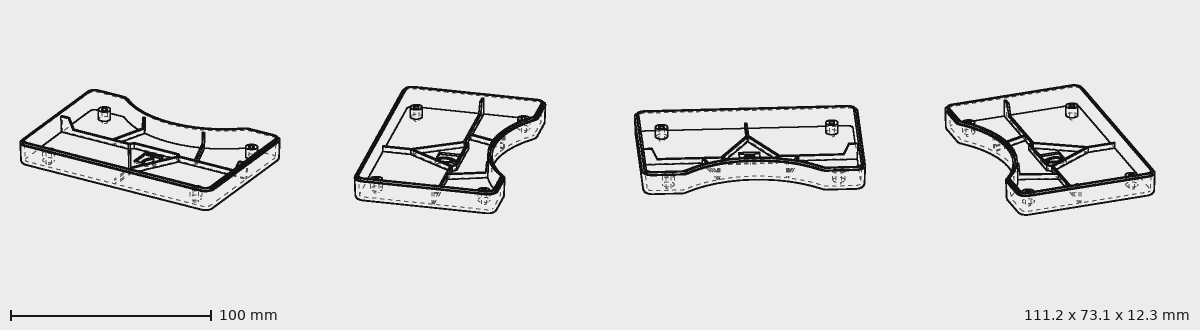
import cadquery as cq
import math

LENGTH = 111.2
WIDTH = 73.1
HEIGHT = 12.3
LIP_HEIGHT = 1.1
SHOULDER_Z = HEIGHT - LIP_HEIGHT
LIP_INSET = 1.0
LIP_DRAFT = 5.0
WALL = 2.0
FLOOR = 1.9
WALL_DRAFT = 2.0
WALL_MIDDLE_X = (LENGTH - WALL) / 2
WALL_MIDDLE_Y = (WIDTH - WALL) / 2
CORNER_RADIUS = 5.0
BOTTOM_FILLET = 2.0

NOTCH_RADIUS = 50.0
NOTCH_BOTTOM_Y = 22.9
NOTCH_CENTRE_Y = NOTCH_BOTTOM_Y + NOTCH_RADIUS
NOTCH_CORNER_RADIUS = 4.5
NOTCH_CORNER_X = math.sqrt(NOTCH_RADIUS**2 - (NOTCH_CENTRE_Y - WIDTH / 2) ** 2)

BOSS_X = 42.5
BOSS_Y = 27.5
BOSS_DIAMETER = 6.0
BOSS_HOLE_DIAMETER = 2.6
BOSS_HEIGHT = 5.1

RIB_WIDTH = 1.0
RIB_HEIGHT = 2.7
CROSS_RIB_Y = 4.0
FRAME_SIDE_X = 14.2
FRAME_TOP_X = 12.6
FRAME_TOP_Y = 6.0
FRAME_TIP_Y = -19.9
RADIAL_RIB_FOOT_X = 23.8

GUSSET_HEIGHT = 8.5
GUSSET_TOP_X = 49.1
GUSSET_FOOT_X = 46.5
POST_TOP_DEPTH = 0.8
POST_FOOT_DEPTH = 1.3

RECESS_LENGTH = 10.2
RECESS_WIDTH = 10.6
RECESS_CENTRE_Y = -1.3
RECESS_DEPTH = 1.0
DROP_RADIUS = 2.6
DROP_CENTRE_Y = -3.2
DROP_TIP_Y = 3.1


def outline(inset, z):
    """Closed outline of the case, moved inwards by inset and placed at height z."""
    block = cq.Workplane("XY").rect(LENGTH, WIDTH).extrude(1.1)
    block = block.edges("|Z").fillet(CORNER_RADIUS)
    block = block.cut(cq.Workplane("XY").center(0, NOTCH_CENTRE_Y).circle(NOTCH_RADIUS).extrude(1.1))
    for side in (-1, 1):
        notch_corner = (side * NOTCH_CORNER_X, WIDTH / 2, 0.6)
        edge = cq.selectors.NearestToPointSelector(notch_corner)
        block = block.edges("|Z").edges(edge).fillet(NOTCH_CORNER_RADIUS)
    wire = block.faces("<Z").wires().val().translate(cq.Vector(0, 0, z))
    placed = cq.Workplane("XY", origin=(0, 0, z)).add(wire).toPending()
    return placed.offset2D(-inset) if inset > 0 else placed


def shell():
    body = outline(0, SHOULDER_Z).extrude(-SHOULDER_Z, taper=WALL_DRAFT)
    body = body.faces("<Z").edges().fillet(BOTTOM_FILLET)
    lip = outline(LIP_INSET, SHOULDER_Z).extrude(LIP_HEIGHT, taper=LIP_DRAFT)
    return body.union(lip)


def cavity():
    return outline(WALL, HEIGHT).extrude(-(HEIGHT - FLOOR), taper=WALL_DRAFT)


def braced_rib(start, heading, length, gusset_top, gusset_foot):
    """Rib running along heading (degrees) into a wall, where it rises to a sloped gusset.

    The gusset's top edge and foot are distances back from the end of the rib.
    """
    rib_top = FLOOR + RIB_HEIGHT
    brace_top = FLOOR + GUSSET_HEIGHT
    profile = [
        (0, FLOOR),
        (0, rib_top),
        (length - gusset_foot, rib_top),
        (length - gusset_top, brace_top),
        (length, brace_top),
        (length, FLOOR),
    ]
    cos, sin = math.cos(math.radians(heading)), math.sin(math.radians(heading))
    plane = cq.Plane(origin=(*start, 0), xDir=(cos, sin, 0), normal=(sin, -cos, 0))
    return cq.Workplane(plane).polyline(profile).close().extrude(RIB_WIDTH / 2, both=True)


def hanger_frame():
    """Five-sided rib loop around the hanging hole."""
    frame = [
        (-FRAME_TOP_X, FRAME_TOP_Y),
        (FRAME_TOP_X, FRAME_TOP_Y),
        (FRAME_SIDE_X, CROSS_RIB_Y),
        (0, FRAME_TIP_Y),
        (-FRAME_SIDE_X, CROSS_RIB_Y),
    ]
    loop = cq.Workplane("XY", origin=(0, 0, FLOOR)).polyline(frame).close()
    inner = loop.offset2D(-RIB_WIDTH / 2).extrude(RIB_HEIGHT)
    loop = cq.Workplane("XY", origin=(0, 0, FLOOR)).polyline(frame).close()
    outer = loop.offset2D(RIB_WIDTH / 2, "intersection").extrude(RIB_HEIGHT)
    return outer.cut(inner)


def cross_rib(side):
    """Rib from the frame to a side wall."""
    return braced_rib(
        start=(side * FRAME_SIDE_X, CROSS_RIB_Y),
        heading=90 - side * 90,
        length=WALL_MIDDLE_X - FRAME_SIDE_X,
        gusset_top=WALL_MIDDLE_X - GUSSET_TOP_X,
        gusset_foot=WALL_MIDDLE_X - GUSSET_FOOT_X,
    )


def radial_rib(side):
    """Rib from a cross rib to the notch wall, heading for the notch centre."""
    rise = NOTCH_CENTRE_Y - CROSS_RIB_Y
    wall_middle_radius = NOTCH_RADIUS + WALL / 2
    return braced_rib(
        start=(side * RADIAL_RIB_FOOT_X, CROSS_RIB_Y),
        heading=math.degrees(math.atan2(rise, -side * RADIAL_RIB_FOOT_X)),
        length=math.hypot(RADIAL_RIB_FOOT_X, rise) - wall_middle_radius,
        gusset_top=WALL / 2 + POST_TOP_DEPTH,
        gusset_foot=WALL / 2 + POST_FOOT_DEPTH,
    )


def tail_rib():
    """Rib from the tip of the frame to the -Y wall."""
    length = FRAME_TIP_Y + WALL_MIDDLE_Y
    rib = cq.Workplane("XY", origin=(0, FRAME_TIP_Y - length / 2, FLOOR))
    return rib.rect(RIB_WIDTH, length).extrude(RIB_HEIGHT)


def boss_cylinders(diameter, bottom_z):
    """One cylinder per boss, from bottom_z up to the boss tops."""
    spots = [(x, y) for x in (-BOSS_X, BOSS_X) for y in (-BOSS_Y, BOSS_Y)]
    base = cq.Workplane("XY", origin=(0, 0, bottom_z)).pushPoints(spots)
    return base.circle(diameter / 2).extrude(FLOOR + BOSS_HEIGHT - bottom_z)


def hanging_hole():
    """Drop-shaped through hole below a square recess in the floor."""
    recess = (
        cq.Workplane("XY", origin=(0, RECESS_CENTRE_Y, FLOOR - RECESS_DEPTH))
        .rect(RECESS_LENGTH, RECESS_WIDTH)
        .extrude(RECESS_DEPTH)
    )
    rise = DROP_TIP_Y - DROP_CENTRE_Y
    flank_radius = (rise**2 + DROP_RADIUS**2) / (2 * DROP_RADIUS)
    tip = (0, DROP_TIP_Y)
    drop = (
        cq.Workplane("XY")
        .moveTo(-DROP_RADIUS, DROP_CENTRE_Y)
        .threePointArc((0, DROP_CENTRE_Y - DROP_RADIUS), (DROP_RADIUS, DROP_CENTRE_Y))
        .radiusArc(tip, -flank_radius)
        .radiusArc((-DROP_RADIUS, DROP_CENTRE_Y), -flank_radius)
        .close()
        .extrude(FLOOR)
    )
    return recess.union(drop)


result = shell().cut(cavity())
result = result.union(boss_cylinders(BOSS_DIAMETER, FLOOR))
result = result.union(hanger_frame()).union(tail_rib())
for side in (-1, 1):
    result = result.union(cross_rib(side)).union(radial_rib(side))
result = result.cut(boss_cylinders(BOSS_HOLE_DIAMETER, 0)).cut(hanging_hole())